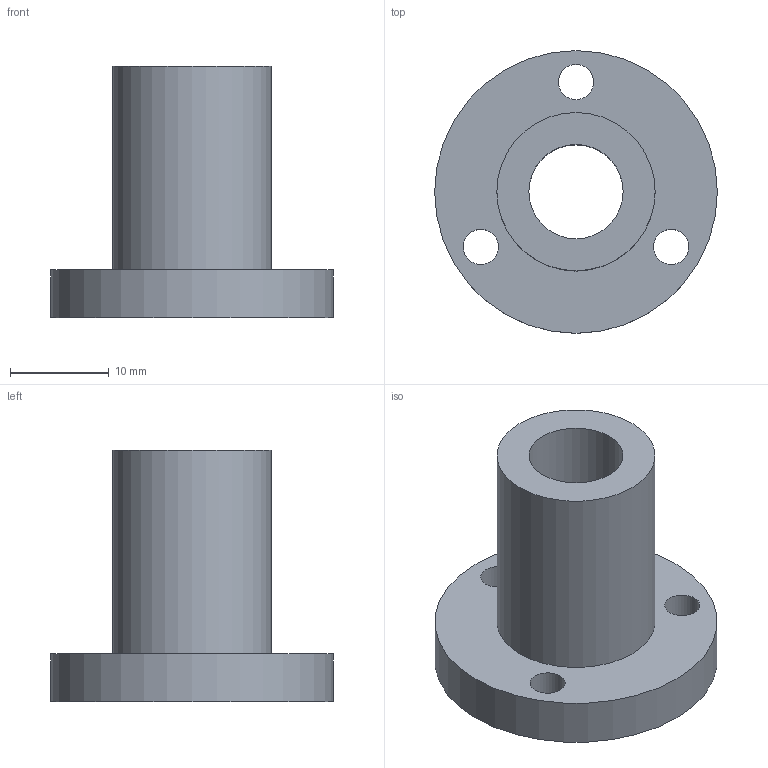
import cadquery as cq

flange_diameter = 28.575
flange_thickness = 4.826
sleeve_diameter = 16.0
bore_diameter = 9.525
overall_height = 25.4
bolt_hole_diameter = 3.56
bolt_circle_diameter = 22.225
bolt_hole_count = 3
first_bolt_hole_angle = 90


def make_body():
    """Round flange with a concentric sleeve standing on it."""
    flange = cq.Workplane("XY").circle(flange_diameter / 2).extrude(flange_thickness)
    sleeve = cq.Workplane("XY").circle(sleeve_diameter / 2).extrude(overall_height)
    return flange.union(sleeve)


def make_bore():
    """Cutter for the central bore through the full height."""
    return cq.Workplane("XY").circle(bore_diameter / 2).extrude(overall_height)


def make_bolt_holes():
    """Cutters for the evenly spaced holes through the flange."""
    return (
        cq.Workplane("XY")
        .polarArray(bolt_circle_diameter / 2, first_bolt_hole_angle, 360, bolt_hole_count)
        .circle(bolt_hole_diameter / 2)
        .extrude(flange_thickness)
    )


result = make_body().cut(make_bore()).cut(make_bolt_holes())